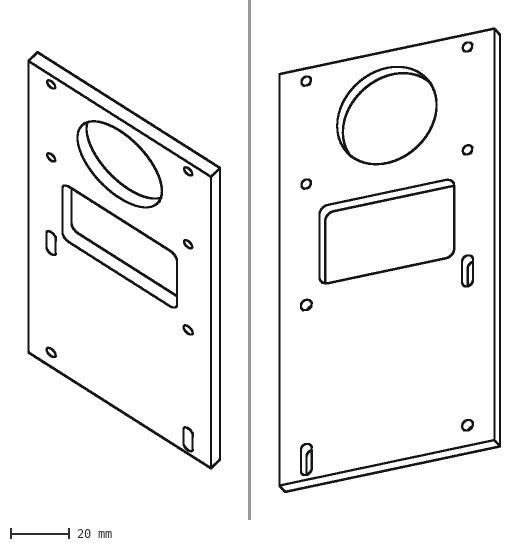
import cadquery as cq

plate_width = 80.0
plate_thickness = 5.0
plate_height = 160.0

opening_diameter = 37.0
opening_z = 55.0
screw_hole_diameter = 3.5
screw_spacing_x = 60.0
screw_spacing_z = 40.0

window_width = 50.0
window_height = 30.4
window_corner_radius = 3.0
window_z = 10.0

mount_diameter = 4.0
slot_length = 12.0
mount_upper_z = -12.0
mount_lower_z = -72.0
column_x = screw_spacing_x / 2


def front_sketch(x, z):
    """Workplane on the plate's mid-plane, with its origin at (x, z)."""
    return cq.Workplane("XZ", origin=(x, 0, z))


def through(profile):
    """Extrude a closed profile through the full plate thickness."""
    return profile.extrude(plate_thickness / 2, both=True)


def round_hole(x, z, diameter):
    return through(front_sketch(x, z).circle(diameter / 2))


def upright_slot(x, z):
    return through(front_sketch(x, z).slot2D(slot_length, mount_diameter, 90))


plate = through(front_sketch(0, 0).rect(plate_width, plate_height))

plate = plate.cut(round_hole(0, opening_z, opening_diameter))
for x in (-column_x, column_x):
    for z in (opening_z - screw_spacing_z / 2, opening_z + screw_spacing_z / 2):
        plate = plate.cut(round_hole(x, z, screw_hole_diameter))

window = through(front_sketch(0, window_z).rect(window_width, window_height))
plate = plate.cut(window.edges("|Y").fillet(window_corner_radius))

for hole_x, z in ((column_x, mount_upper_z), (-column_x, mount_lower_z)):
    plate = plate.cut(round_hole(hole_x, z, mount_diameter))
    plate = plate.cut(upright_slot(-hole_x, z))

result = plate